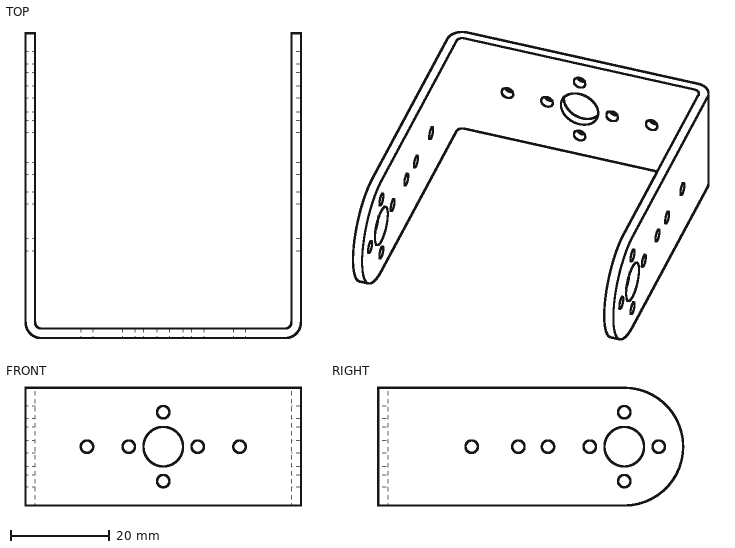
import cadquery as cq

width = 56.0
depth = 62.0
height = 24.0

thickness = 2.0
bend_outer_radius = 3.2
bend_inner_radius = bend_outer_radius - thickness

center_hole_diameter = 8.0
screw_hole_diameter = 2.5
screw_circle_radius = 7.0
web_outer_hole_offset = 15.5
arm_hole_offsets = [15.5, 21.5, 31.0]

arm_end_radius = height / 2
front_y = -depth / 2
arm_center_y = depth / 2 - arm_end_radius


def bent_sheet():
    """U-shaped sheet: a front web with two arms running toward +Y."""
    outer = (
        cq.Workplane("XY")
        .box(width, depth, height)
        .edges("|Z and <Y")
        .fillet(bend_outer_radius)
    )
    inner = (
        cq.Workplane("XY")
        .box(width - 2 * thickness, depth, height)
        .translate((0, thickness, 0))
        .edges("|Z and <Y")
        .fillet(bend_inner_radius)
    )
    return outer.cut(inner)


def arm_outline():
    """Side outline, full width in X, with both arm ends rounded."""
    return (
        cq.Workplane("YZ")
        .moveTo(front_y, -height / 2)
        .lineTo(arm_center_y, -height / 2)
        .threePointArc((depth / 2, 0), (arm_center_y, height / 2))
        .lineTo(front_y, height / 2)
        .close()
        .extrude(width / 2, both=True)
    )


def hole_cutter(plane, center, extra_offsets, reach):
    """Central hole, four screw holes around it and extra screw holes along the midline."""
    screw_points = [
        (center + screw_circle_radius, 0),
        (center - screw_circle_radius, 0),
        (center, screw_circle_radius),
        (center, -screw_circle_radius),
    ]
    screw_points += [(center + offset, 0) for offset in extra_offsets]
    central = (
        cq.Workplane(plane)
        .center(center, 0)
        .circle(center_hole_diameter / 2)
        .extrude(reach, both=True)
    )
    screws = (
        cq.Workplane(plane)
        .pushPoints(screw_points)
        .circle(screw_hole_diameter / 2)
        .extrude(reach, both=True)
    )
    return central.union(screws)


web_holes = hole_cutter("XZ", 0, [-web_outer_hole_offset, web_outer_hole_offset], depth)
arm_holes = hole_cutter("YZ", arm_center_y, [-offset for offset in arm_hole_offsets], width)

result = bent_sheet().intersect(arm_outline()).cut(web_holes).cut(arm_holes)